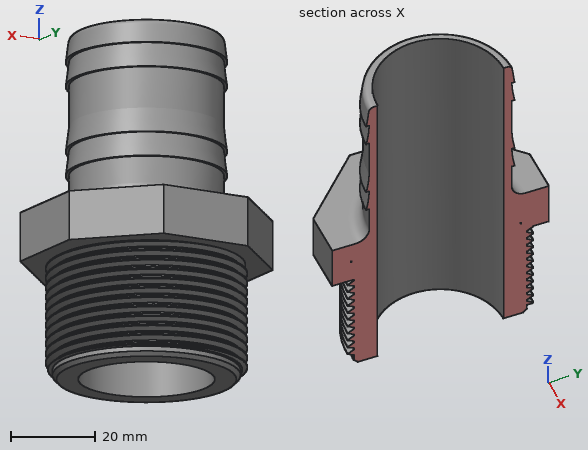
import cadquery as cq
import math


total_height = 84.0
bore_diameter = 32.5

collar_across_flats = 56.0
collar_bottom = 28.0
collar_height = 12.0
collar_top = collar_bottom + collar_height
octagon_sides = 8

tail_diameter = 37.0
barb_diameter = 38.5
barb_length = 6.0
barbs_per_group = 2
lower_barb_base = 50.1
upper_barb_base = total_height - barbs_per_group * barb_length
neck_fillet = 3.5
mouth_fillet = 1.5

core_diameter = 44.85
thread_diameter = 48.05
end_chamfer = 1.0
thread_turns = 14
thread_height = 32.3
thread_pitch = thread_height / thread_turns
thread_root_width = thread_pitch * 5 / 6
thread_crest_width = 0.25
thread_bottom = 2.2
helix_start = -0.3
thread_overlap = 0.2
collar_overlap = 0.6


def cylinder(diameter, bottom, top):
    return cq.Workplane("XY").workplane(offset=bottom).circle(diameter / 2).extrude(top - bottom)


def collar():
    across_corners = collar_across_flats / math.cos(math.pi / octagon_sides)
    octagon = cq.Workplane("XY").workplane(offset=collar_bottom)
    octagon = octagon.transformed(rotate=(0, 0, 180 / octagon_sides))
    return octagon.polygon(octagon_sides, across_corners).extrude(collar_height)


def hose_tail():
    """Plain neck flaring into the collar, with two groups of saw-tooth barbs."""
    tail_radius = tail_diameter / 2
    barb_radius = barb_diameter / 2
    flare_radius = tail_radius + neck_fillet
    arc_offset = neck_fillet * (1 - math.sqrt(0.5))

    profile = cq.Workplane("XZ").moveTo(0, collar_bottom)
    profile = profile.lineTo(tail_radius, collar_bottom).lineTo(tail_radius, collar_top)
    profile = profile.lineTo(flare_radius, collar_top)
    profile = profile.threePointArc(
        (tail_radius + arc_offset, collar_top + arc_offset),
        (tail_radius, collar_top + neck_fillet),
    )
    for group_base in (lower_barb_base, upper_barb_base):
        profile = profile.lineTo(tail_radius, group_base)
        for index in range(barbs_per_group):
            barb_base = group_base + index * barb_length
            profile = profile.lineTo(barb_radius, barb_base)
            profile = profile.lineTo(tail_radius, barb_base + barb_length)
    tail = profile.lineTo(0, total_height).close().revolve(360, (0, 0), (0, 1))
    return tail.faces(">Z").edges().fillet(mouth_fillet)


def threaded_end_core():
    core = cylinder(core_diameter, 0, collar_top)
    return core.faces("<Z").edges().chamfer(end_chamfer)


def thread():
    """Right-hand helical ridge, trimmed flat at its lower end and sunk slightly into the core."""
    core_radius = core_diameter / 2
    crest_radius = thread_diameter / 2
    flank_slope = (thread_root_width - thread_crest_width) / 2 / (crest_radius - core_radius)
    inner_radius = core_radius - thread_overlap
    half_inner = thread_root_width / 2 + thread_overlap * flank_slope
    half_crest = thread_crest_width / 2

    section = [
        (inner_radius, -half_inner),
        (crest_radius, -half_crest),
        (crest_radius, half_crest),
        (inner_radius, half_inner),
    ]
    helices = [
        cq.Wire.makeHelix(thread_pitch, thread_height, radius, center=cq.Vector(0, 0, height))
        for radius, height in section
    ]

    faces = [
        cq.Face.makeRuledSurface(helices[index - 1], helices[index])
        for index in range(len(helices))
    ]
    for cap_corners in (
        [helix.startPoint() for helix in helices],
        [helix.endPoint() for helix in helices],
    ):
        faces.append(cq.Face.makeFromWires(cq.Wire.makePolygon(cap_corners, close=True)))
    ridge = cq.Solid.makeSolid(cq.Shell.makeShell(faces)).fix()

    threaded_zone = cylinder(2 * thread_diameter, thread_bottom, collar_bottom + collar_overlap)
    return threaded_zone.intersect(cq.Workplane(ridge.translate(cq.Vector(0, 0, helix_start))))


bore = cylinder(bore_diameter, 0, total_height)
body = threaded_end_core().union(collar()).union(hose_tail()).cut(bore)
result = body.union(thread())